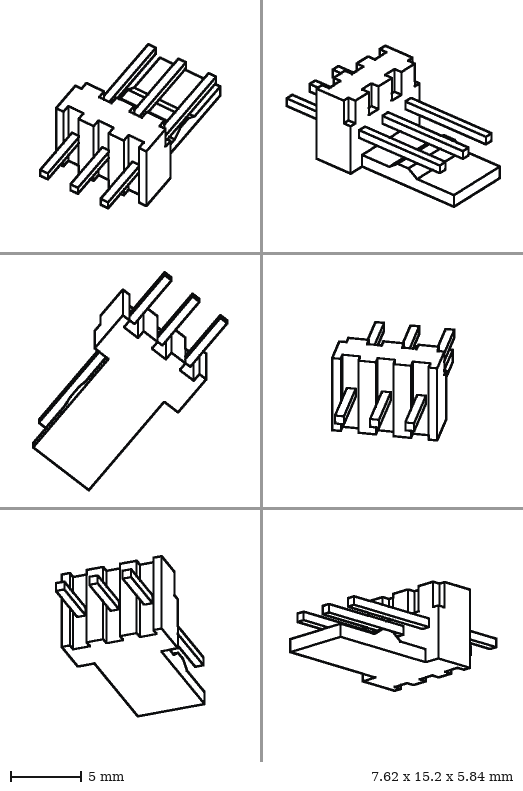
import cadquery as cq

pin_count = 3
pitch = 2.55
pin_size = 0.64
pin_height = 2.87
pin_start = -7.62
pin_length = 14.2

housing_width = 7.62
housing_height = 5.84
housing_front = -4.07
housing_depth = 3.19
housing_back = housing_front + housing_depth

groove_width = pitch / 2
groove_depth = 0.64

tooth_width = 1.5
notch_depth = 0.64
notch_height = 1.89

tongue_width = (pin_count - 1) * pitch
tongue_end = 7.62
tongue_thickness = 0.98
ridge_top = 1.54
ridge_foot_front = 1.63
ridge_crest_front = 2.41
ridge_crest_back = 3.4
ridge_foot_back = 4.22

pin_positions = [(i - (pin_count - 1) / 2) * pitch for i in range(pin_count)]


def block(width, depth, height, x_center, y_start, z_start):
    """Box centred on x_center, growing along +Y and +Z from its start."""
    return (
        cq.Workplane("XY")
        .box(width, depth, height, centered=(True, False, False))
        .translate((x_center, y_start, z_start))
    )


def make_housing():
    """Housing with a full-height groove and an upper back tooth at each pin."""
    housing = block(housing_width, housing_depth, housing_height, 0, housing_front, 0)
    notch_floor = housing_height - notch_height
    notch_start = housing_back - notch_depth
    housing = housing.cut(
        block(housing_width, notch_depth, notch_height, 0, notch_start, notch_floor)
    )
    for x in pin_positions:
        housing = housing.union(
            block(tooth_width, notch_depth, notch_height, x, notch_start, notch_floor)
        )
        housing = housing.cut(
            block(groove_width, groove_depth, housing_height, x, housing_front, 0)
        )
    return housing


def make_tongue():
    """Flat tongue at the base with a sloped locking ridge across it."""
    profile = [
        (housing_back, 0),
        (tongue_end, 0),
        (tongue_end, tongue_thickness),
        (ridge_foot_back, tongue_thickness),
        (ridge_crest_back, ridge_top),
        (ridge_crest_front, ridge_top),
        (ridge_foot_front, tongue_thickness),
        (housing_back, tongue_thickness),
    ]
    return cq.Workplane("YZ").polyline(profile).close().extrude(tongue_width / 2, both=True)


result = make_housing().union(make_tongue())
for pin_x in pin_positions:
    result = result.union(
        block(pin_size, pin_length, pin_size, pin_x, pin_start, pin_height - pin_size / 2)
    )